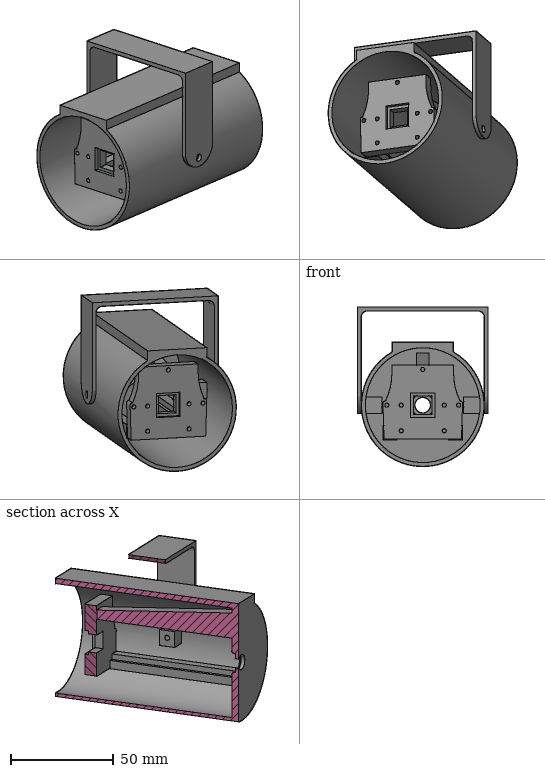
import cadquery as cq
import math

length = 99.0
outer_radius = 30.0
inner_radius = 28.0
rear_y = length / 2
rear_wall = 4.0
rear_wall_y = rear_y - rear_wall
pad_width = 30.0
pad_top = 30.8

opening_diameter = 7.5
recess_diameter = 11.2
recess_mouth_diameter = 13.0
recess_depth = 2.0

pivot_z = 0.4
pivot_hole_diameter = 2.6
bracket_hole_diameter = 3.5
pivot_block_size = 8.1
pivot_block_inner_x = 19.9

foot_size = 7.0
foot_outer_x = 19.5
foot_bottom = -16.9
foot_step_width = 1.9
foot_step_height = 2.8

strut_width = 6.0
strut_rear_top = 25.5
strut_front_top = 17.4
strut_bottom = 12.5

plate_front_y = -33.7
plate_thickness = 6.4
plate_rear_y = plate_front_y + plate_thickness
plate_top = 19.6
plate_bottom = -16.5
plate_top_half_width = 15.0
plate_half_width = 19.4
plate_bottom_half_width = 18.9
ear_top = 2.0
ear_half_width = 18.2
ear_radius = 1.1
ear_side_top = 0.9
side_curve_top = 15.8
window_recess_width = 12.0
window_recess_depth = 2.0
window_width = 9.0
plate_hole_diameter = 2.0
plate_hole_depth = 4.95
top_hole_z = 17.4
ear_hole_x = 17.5
inner_hole_x = 10.5
lower_hole_z = -12.5

bracket_width = 63.9
bracket_depth = 20.0
bracket_top = 48.0
bracket_bottom = -4.1
bracket_arc_top = 4.1
bracket_inner_half_width = outer_radius
bracket_top_thickness = 2.1
bracket_fillet = 3.0
bracket_groove_width = 2.4


def from_front(y):
    """Workplane at the given Y whose local axes are X and Z and whose normal is -Y."""
    return cq.Workplane("XZ", origin=(0, y, 0))


def rod_along_x(diameter, z):
    """Cylinder along X that passes right through the part."""
    return cq.Workplane("YZ").center(0, z).circle(diameter / 2).extrude(bracket_width / 2, both=True)


def make_shell():
    """Tube with its pad, closed at the rear."""
    tube = from_front(rear_y).circle(outer_radius).extrude(length)
    pad = from_front(rear_y).center(0, pad_top / 2).rect(pad_width, pad_top).extrude(length)
    bore = from_front(rear_wall_y).circle(inner_radius).extrude(length)
    return tube.union(pad).cut(bore)


def make_pivot_block(side):
    """Square block on the inner wall; side is -1 for left and 1 for right."""
    wall_x = (inner_radius + outer_radius) / 2
    block_length = wall_x - pivot_block_inner_x
    block = cq.Workplane("XY").box(block_length, pivot_block_size, pivot_block_size)
    return block.translate((side * (pivot_block_inner_x + block_length / 2), 0, 0))


def make_foot(side):
    """Square foot from the rear wall to the plate, stepped along its inner top edge."""
    foot_length = rear_wall_y - plate_rear_y
    inner_x = side * (foot_outer_x - foot_size)
    step_x = inner_x + side * foot_step_width
    outer_x = side * foot_outer_x
    foot_top = foot_bottom + foot_size
    step_z = foot_top - foot_step_height
    outline = from_front(rear_wall_y).polyline(
        [
            (inner_x, foot_bottom),
            (outer_x, foot_bottom),
            (outer_x, foot_top),
            (step_x, foot_top),
            (step_x, step_z),
            (inner_x, step_z),
        ]
    )
    return outline.close().extrude(foot_length)


def make_opening():
    """Hole through the rear wall with a wider recess whose mouth is chamfered."""
    hole = from_front(rear_y).circle(opening_diameter / 2).extrude(rear_wall)
    recess = from_front(rear_wall_y + recess_depth).circle(recess_diameter / 2).extrude(recess_depth)
    chamfer = (recess_mouth_diameter - recess_diameter) / 2
    mouth = cq.Workplane(
        cq.Solid.makeCone(
            recess_mouth_diameter / 2,
            recess_diameter / 2,
            chamfer,
            pnt=cq.Vector(0, rear_wall_y, 0),
            dir=cq.Vector(0, 1, 0),
        )
    )
    return hole.union(recess).union(mouth)


def make_strut():
    """Strut from the rear wall to the back of the plate."""
    profile = cq.Workplane("YZ").polyline(
        [
            (plate_rear_y, strut_bottom),
            (plate_rear_y, strut_front_top),
            (rear_wall_y, strut_rear_top),
            (rear_wall_y, strut_bottom),
        ]
    )
    return profile.close().extrude(strut_width / 2, both=True)


def make_housing():
    housing = make_shell().union(make_strut())
    for side in (-1, 1):
        housing = housing.union(make_pivot_block(side)).union(make_foot(side))
    housing = housing.cut(rod_along_x(pivot_hole_diameter, pivot_z))
    return housing.cut(make_opening())


def make_plate():
    outline = (
        from_front(plate_rear_y)
        .moveTo(0, plate_top)
        .lineTo(plate_top_half_width, plate_top)
        .lineTo(plate_top_half_width, side_curve_top)
        .tangentArcPoint((ear_half_width, ear_top), relative=False)
        .radiusArc((plate_half_width, ear_side_top), ear_radius)
        .lineTo(plate_bottom_half_width, plate_bottom)
        .lineTo(0, plate_bottom)
        .mirrorY()
    )
    plate = outline.extrude(plate_thickness)
    recess_floor_y = plate_front_y + window_recess_depth
    recess = from_front(recess_floor_y).rect(window_recess_width, window_recess_width)
    window = from_front(plate_rear_y).rect(window_width, window_width)
    holes = from_front(plate_front_y + plate_hole_depth).pushPoints(
        [(0, top_hole_z)]
        + [(side * ear_hole_x, 0) for side in (-1, 1)]
        + [(side * inner_hole_x, z) for side in (-1, 1) for z in (0, lower_hole_z)]
    )
    plate = plate.cut(recess.extrude(window_recess_depth))
    plate = plate.cut(window.extrude(plate_thickness))
    return plate.cut(holes.circle(plate_hole_diameter / 2).extrude(plate_hole_depth))


def make_bracket():
    half_depth = bracket_depth / 2
    blank = (
        cq.Workplane("YZ")
        .moveTo(-half_depth, bracket_top)
        .lineTo(-half_depth, bracket_arc_top)
        .threePointArc((0, bracket_bottom), (half_depth, bracket_arc_top))
        .lineTo(half_depth, bracket_top)
        .close()
        .extrude(bracket_width / 2, both=True)
    )
    inside_top = bracket_top - bracket_top_thickness
    inside = (
        from_front(0)
        .rect(2 * bracket_inner_half_width, 2 * inside_top)
        .extrude(bracket_depth, both=True)
        .edges("|Y")
        .fillet(bracket_fillet)
    )
    groove_radius = math.hypot(bracket_inner_half_width, bracket_groove_width / 2)
    groove_top = inside_top - bracket_fillet
    groove = cq.Workplane("XY").workplane(offset=bracket_bottom).circle(groove_radius)
    groove = groove.extrude(groove_top - bracket_bottom)
    return blank.cut(inside).cut(groove).cut(rod_along_x(bracket_hole_diameter, pivot_z))


housing = make_housing()
plate = make_plate()
bracket = make_bracket()

result = cq.Compound.makeCompound([housing.val(), plate.val(), bracket.val()])